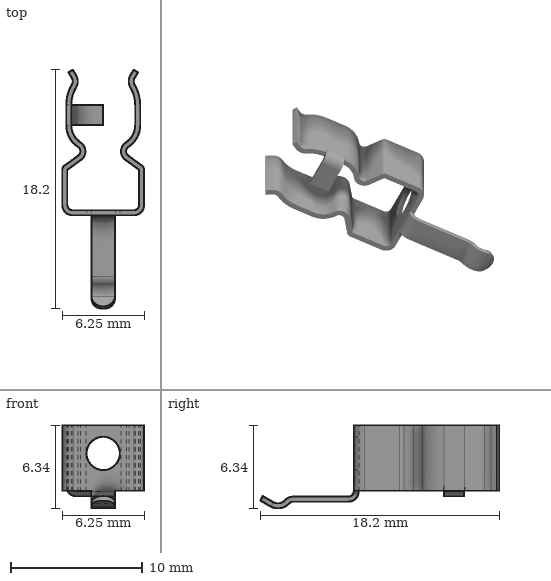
import cadquery as cq
import math


overall_length = 18.21

thickness = 0.4
bend_radius = 0.4
outer_bend_radius = bend_radius + thickness

clip_height = 4.99
base_width = 6.25
base_half_width = base_width / 2
base_straight = base_half_width - outer_bend_radius
side_wall_length = 2.65

knee_angle = 54
knee_radius = 0.02
neck_arc_angle = 57
cradle_half_width = 2.82
cradle_lower_radius = 1.57
cradle_flat = 1.55
cradle_upper_radius = 2.6
cradle_upper_angle = 31
lip_bend_radius = 0.47
lip_angle = 31
lip_length = 0.51

hole_diameter = 2.51
hole_height = 2.84

tab_bend_height = 0.36
tab_relief = 0.05

foot_width = 1.8
tip_radius = foot_width / 2
foot_stem = 0.04
foot_drop_angle = 48
foot_heel_radius = 0.75
foot_tip_angle = 30


def straight(length):
    return ("straight", length, 0)


def bend(angle, inside_radius):
    """Bend by an angle in degrees, positive to the left of the direction of travel."""
    return ("bend", inside_radius + thickness / 2, angle)


def step_pose(pose, step, fraction=1.0):
    """Pose (x, y, heading) reached on the sheet's middle line after a fraction of one step."""
    x, y, heading = pose
    kind, size, angle = step
    if kind == "straight":
        distance = size * fraction
        direction = math.radians(heading)
    else:
        turn = angle * fraction
        distance = 2 * size * math.sin(math.radians(abs(turn)) / 2)
        direction = math.radians(heading + turn / 2)
        heading += turn
    return (x + distance * math.cos(direction), y + distance * math.sin(direction), heading)


def walk(start, steps):
    """Poses at the start and after every step."""
    poses = [start]
    for step in steps:
        poses.append(step_pose(poses[-1], step))
    return poses


def side_point(pose, side):
    """Point on the left (side = 1) or right (side = -1) face of the sheet."""
    x, y, heading = pose
    normal = math.radians(heading + 90)
    offset = side * thickness / 2
    return (x + offset * math.cos(normal), y + offset * math.sin(normal))


def bent_strip(workplane, start, steps):
    """Closed edge-on outline of a sheet that follows the steps."""
    poses = walk(start, steps)
    outline = workplane.moveTo(*side_point(poses[0], 1))
    numbered_steps = list(enumerate(steps))
    for side, ordered_steps in ((1, numbered_steps), (-1, numbered_steps[::-1])):
        if side == -1:
            outline = outline.lineTo(*side_point(poses[-1], side))
        for index, step in ordered_steps:
            end = side_point(poses[index + 1] if side == 1 else poses[index], side)
            if step[0] == "straight":
                outline = outline.lineTo(*end)
            else:
                middle = side_point(step_pose(poses[index], step, 0.5), side)
                outline = outline.threePointArc(middle, end)
    return outline.close()


knee = bend(-knee_angle, knee_radius)
neck = bend(knee_angle + neck_arc_angle, bend_radius)
cradle_lower = bend(-neck_arc_angle, cradle_lower_radius)
inward_without_slope = walk((0, 0, 90), [knee, neck, cradle_lower])[-1][0]
slope_inward = base_half_width - cradle_half_width - inward_without_slope
slope_length = slope_inward / math.sin(math.radians(knee_angle))

steps_to_cradle = [
    straight(base_straight),
    bend(-90, bend_radius),
    straight(side_wall_length),
    knee,
    straight(slope_length),
    neck,
    cradle_lower,
]
steps_from_cradle = [
    straight(cradle_flat),
    bend(-cradle_upper_angle, cradle_upper_radius),
    bend(cradle_upper_angle + lip_angle, lip_bend_radius),
    straight(lip_length),
]
base_middle = (0, thickness / 2, 180)
half_clip_steps = steps_to_cradle + steps_from_cradle
half_clip = bent_strip(cq.Workplane("XY"), base_middle, half_clip_steps).extrude(clip_height)
clip = half_clip.union(half_clip.mirror("YZ"))

hole = (
    cq.Workplane("XZ")
    .center(0, hole_height)
    .circle(hole_diameter / 2)
    .extrude(-thickness)
)
clip = clip.cut(hole)

cradle_x, cradle_y, _ = walk(base_middle, steps_to_cradle)[-1]
notch_length = cradle_flat + 2 * tab_relief
notch = (
    cq.Workplane("XY")
    .box(2 * thickness, notch_length, tab_bend_height, centered=(True, False, False))
    .translate((cradle_x, cradle_y - tab_relief, 0))
)
tab_steps = [bend(90, bend_radius), straight(cradle_half_width - outer_bend_radius)]
tab_plane = cq.Workplane("XZ", origin=(0, cradle_y, 0))
tab = bent_strip(tab_plane, (cradle_x, tab_bend_height, 270), tab_steps).extrude(-cradle_flat)

foot_start = (thickness / 2, 0, 270)
foot_root_steps = [straight(foot_stem), bend(-90, bend_radius)]
foot_heel_steps = [
    bend(foot_drop_angle, bend_radius),
    bend(-(foot_drop_angle + foot_tip_angle), foot_heel_radius),
]
lip_end = walk(base_middle, half_clip_steps)[-1]
lip_end_y = max(side_point(lip_end, side)[1] for side in (1, -1))
tip_end = walk(foot_start, foot_root_steps + foot_heel_steps + [straight(tip_radius)])[-1]
tip_end_y = min(side_point(tip_end, side)[0] for side in (1, -1))
foot_flat = overall_length - (lip_end_y - tip_end_y)
foot_steps = foot_root_steps + [straight(foot_flat)] + foot_heel_steps
foot = bent_strip(cq.Workplane("YZ"), foot_start, foot_steps).extrude(foot_width / 2, both=True)

tip_y, tip_z, tip_heading = walk(foot_start, foot_steps)[-1]
tip_direction = math.radians(tip_heading)
tip_plane = cq.Plane(
    origin=(0, tip_y, tip_z),
    xDir=(1, 0, 0),
    normal=(0, -math.sin(tip_direction), math.cos(tip_direction)),
)
tip = (
    cq.Workplane(tip_plane)
    .moveTo(-tip_radius, 0)
    .lineTo(tip_radius, 0)
    .threePointArc((0, tip_radius), (-tip_radius, 0))
    .close()
    .extrude(thickness / 2, both=True)
)

result = clip.cut(notch).union(tab).union(foot).union(tip)